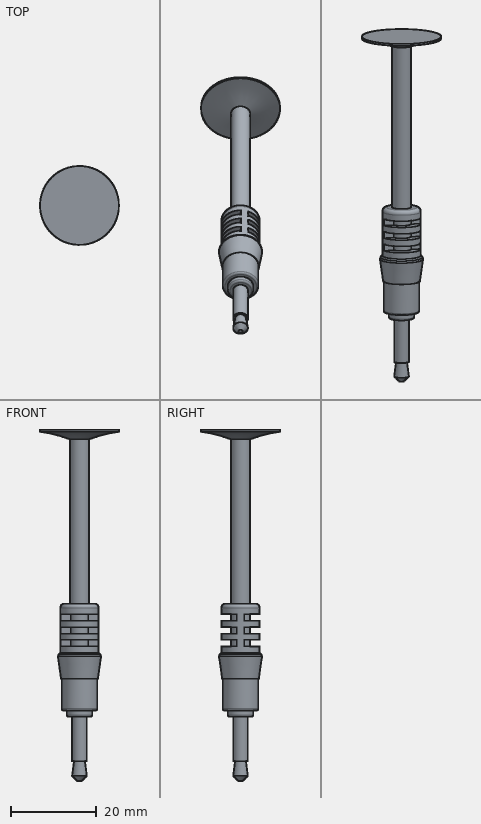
import cadquery as cq

TOTAL_HEIGHT = 82.11
TIP_WIDEST_Z = 1.25
PIN_BOTTOM_Z = 4.7
COLLAR_BOTTOM_Z = 15.0
COLLAR_HEIGHT = 1.5
BARREL_BOTTOM_Z = COLLAR_BOTTOM_Z + COLLAR_HEIGHT
FLARE_BOTTOM_Z = 23.9
FLARE_TOP_Z = 29.15
SHOULDER_BREAK_Z = 29.6
BOOT_BOTTOM_Z = 30.0
BOOT_TOP_Z = 41.5
CONE_BOTTOM_Z = 79.85
RIM_THICKNESS = 0.5
RIM_BOTTOM_Z = TOTAL_HEIGHT - RIM_THICKNESS

TIP_END_DIAMETER = 1.0
TIP_NECK_DIAMETER = 2.6
PIN_DIAMETER = 3.5
COLLAR_DIAMETER = 6.0
BARREL_DIAMETER = 8.4
FLARE_BOTTOM_DIAMETER = 8.65
FLARE_TOP_DIAMETER = 10.15
SHOULDER_BREAK_DIAMETER = 9.8
BOOT_DIAMETER = 9.0
CABLE_DIAMETER = 4.5
DISC_DIAMETER = 18.5

END_FILLET = 0.5
FLARE_BOTTOM_FILLET = 0.12
BOOT_FILLET = 1.0

DISC_SAG = 0.22

SLOT_COUNT = 3
SLOT_HEIGHT = 1.5
SLOT_PITCH = 2 * SLOT_HEIGHT
SLOT_FIRST_Z = 31.5
SPINE_WIDTH = 1.65


def cylinder(diameter, bottom_z, top_z):
    return cq.Workplane("XY").workplane(offset=bottom_z).circle(diameter / 2).extrude(top_z - bottom_z)


def revolved(profile):
    """Spin a closed half profile, drawn in the XZ plane, around the Z axis."""
    return profile.close().revolve(360, (0, 0), (0, 1))


def make_pin():
    """Tip, neck and shank of the contact pin."""
    return revolved(
        cq.Workplane("XZ")
        .lineTo(TIP_END_DIAMETER / 2, 0)
        .lineTo(PIN_DIAMETER / 2, TIP_WIDEST_Z)
        .lineTo(TIP_NECK_DIAMETER / 2, PIN_BOTTOM_Z)
        .lineTo(PIN_DIAMETER / 2, PIN_BOTTOM_Z)
        .lineTo(PIN_DIAMETER / 2, COLLAR_BOTTOM_Z)
        .lineTo(0, COLLAR_BOTTOM_Z)
    )


def make_flare():
    """Tapered grip that widens upward and closes onto the boot with a two-step sloping shoulder."""
    flare = revolved(
        cq.Workplane("XZ")
        .moveTo(0, FLARE_BOTTOM_Z)
        .lineTo(FLARE_BOTTOM_DIAMETER / 2, FLARE_BOTTOM_Z)
        .lineTo(FLARE_TOP_DIAMETER / 2, FLARE_TOP_Z)
        .lineTo(SHOULDER_BREAK_DIAMETER / 2, SHOULDER_BREAK_Z)
        .lineTo(BOOT_DIAMETER / 2, BOOT_BOTTOM_Z)
        .lineTo(0, BOOT_BOTTOM_Z)
    )
    return flare.faces("<Z").edges().fillet(FLARE_BOTTOM_FILLET)


def make_slot(bottom_z):
    """Cutter for one slot, open on both Y sides, that leaves the round core and a spine along X."""
    top_z = bottom_z + SLOT_HEIGHT
    ring = cylinder(FLARE_TOP_DIAMETER, bottom_z, top_z).cut(cylinder(CABLE_DIAMETER, bottom_z, top_z))
    spine = (
        cq.Workplane("XY")
        .workplane(offset=bottom_z)
        .rect(FLARE_TOP_DIAMETER, SPINE_WIDTH)
        .extrude(SLOT_HEIGHT)
    )
    return ring.cut(spine)


def make_plug():
    """Pin, collar, barrel, flare and slotted boot as one solid."""
    collar = cylinder(COLLAR_DIAMETER, COLLAR_BOTTOM_Z, BARREL_BOTTOM_Z)
    collar = collar.faces("<Z").edges().fillet(END_FILLET)
    barrel = cylinder(BARREL_DIAMETER, BARREL_BOTTOM_Z, FLARE_BOTTOM_Z)
    barrel = barrel.faces("<Z").edges().fillet(END_FILLET)
    boot = cylinder(BOOT_DIAMETER, BOOT_BOTTOM_Z, BOOT_TOP_Z)
    boot = boot.faces(">Z").edges().fillet(BOOT_FILLET)
    plug = make_pin().union(collar).union(barrel).union(make_flare()).union(boot)
    for index in range(SLOT_COUNT):
        plug = plug.cut(make_slot(SLOT_FIRST_Z + index * SLOT_PITCH))
    return plug


def make_cable():
    """Straight cable that stands on the boot and spreads into a thin disc with a hollow conical underside."""
    return revolved(
        cq.Workplane("XZ")
        .moveTo(0, BOOT_TOP_Z)
        .lineTo(CABLE_DIAMETER / 2, BOOT_TOP_Z)
        .lineTo(CABLE_DIAMETER / 2, CONE_BOTTOM_Z)
        .sagittaArc((DISC_DIAMETER / 2, RIM_BOTTOM_Z), DISC_SAG)
        .lineTo(DISC_DIAMETER / 2, TOTAL_HEIGHT)
        .lineTo(0, TOTAL_HEIGHT)
    )


plug = make_plug()
cable = make_cable()

result = cq.Compound.makeCompound([plug.val(), cable.val()])